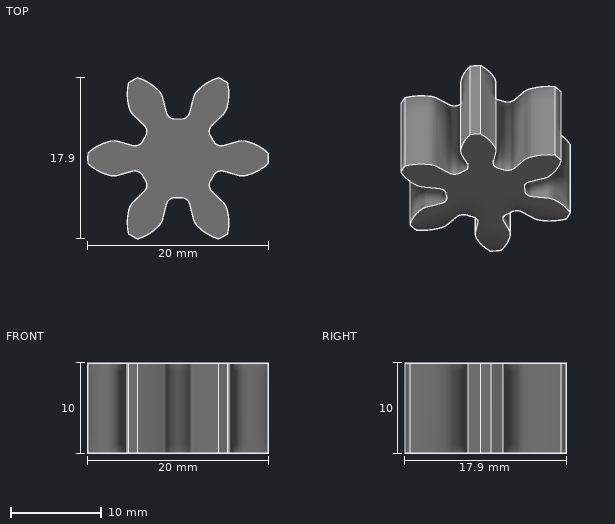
import cadquery as cq
import math

tooth_count = 6
module = 2.5
pressure_angle = math.radians(20)
face_width = 10.0
tip_radius = 10.007
root_fillet_factor = 0.38
dedendum_factor = 1.25
flank_split = 0.5

pitch_radius = module * tooth_count / 2
base_radius = pitch_radius * math.cos(pressure_angle)
root_radius = pitch_radius - dedendum_factor * module
root_fillet_radius = root_fillet_factor * module
tooth_pitch = 2 * math.pi / tooth_count
tip_roll = math.sqrt((tip_radius / base_radius) ** 2 - 1)
base_half_angle = tooth_pitch / 4 + math.tan(pressure_angle) - pressure_angle


def polar(radius, angle):
    return (radius * math.cos(angle), radius * math.sin(angle))


def involute_point(roll, center, side):
    """Point on the flank at the given roll angle; side is -1 or +1 about the tooth center angle."""
    radius = base_radius * math.sqrt(1 + roll ** 2)
    half_angle = base_half_angle - (roll - math.atan(roll))
    return polar(radius, center + side * half_angle)


def flank_points(center, side):
    """Base, split and tip points of a flank, with a midpoint on each of its two arcs."""
    split_roll = flank_split * tip_roll
    rolls = [0, split_roll / 2, split_roll, (split_roll + tip_roll) / 2, tip_roll]
    return [involute_point(roll, center, side) for roll in rolls]


def draw_flank(outline, points):
    """Follow a flank from its first point to its last as two arcs."""
    _, first_mid, split, second_mid, end = points
    return outline.threePointArc(first_mid, split).threePointArc(second_mid, end)


def gear_outline():
    """Closed outline: radial lower flanks, two-arc involute upper flanks, tip and root arcs."""
    root_half_gap = tooth_pitch / 2 - base_half_angle
    outline = cq.Workplane("XY").moveTo(*polar(root_radius, -base_half_angle))
    for tooth in range(tooth_count):
        center = tooth * tooth_pitch
        rising = flank_points(center, -1)
        falling = flank_points(center, 1)[::-1]
        next_root_start = center + base_half_angle
        outline = outline.lineTo(*rising[0])
        outline = draw_flank(outline, rising)
        outline = outline.threePointArc(polar(tip_radius, center), falling[0])
        outline = draw_flank(outline, falling)
        outline = outline.lineTo(*polar(root_radius, next_root_start))
        outline = outline.threePointArc(
            polar(root_radius, next_root_start + root_half_gap),
            polar(root_radius, next_root_start + 2 * root_half_gap),
        )
    return outline.close()


def root_corners(gear):
    """Upright edges where the flanks meet the root circle."""
    selector_radius = (root_radius + base_radius) / 2
    return gear.edges("|Z").filter(lambda e: math.hypot(e.Center().x, e.Center().y) < selector_radius)


gear = gear_outline().extrude(face_width)
result = root_corners(gear).fillet(root_fillet_radius)